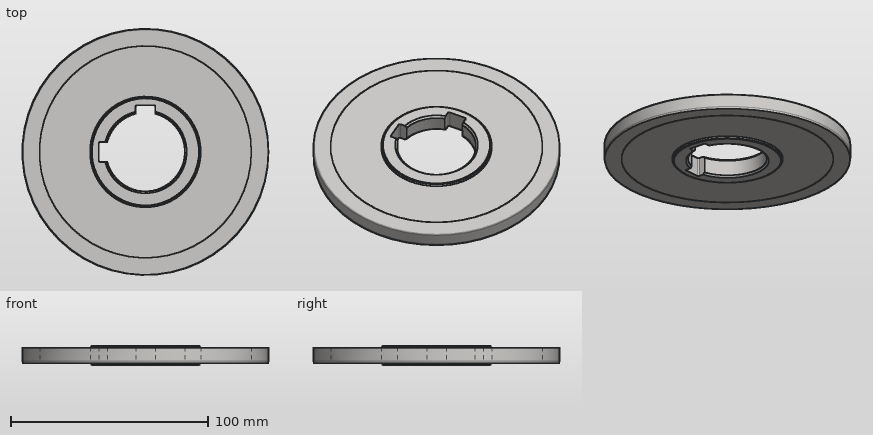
import cadquery as cq
import math

wheel_radius = 62.5
rim_width = 8.8
rim_thickness = 8.0
rim_top_radius = 0.4
rim_taper_height = 1.2
rim_taper_inset = 0.2

rim_step_height = 0.1

hub_radius = 27.5
hub_height = 10.0
hub_edge_chamfer = 0.4
hub_root_fillet = 0.6
bore_radius = 20.0
bore_chamfer = 1.0

keyway_width = 10.0
keyway_floor_distance = 23.6
keyway_corner_radius = 0.6
keyway_angles = (0, 90)

rim_inner_radius = wheel_radius - rim_width
hub_foot_radius = hub_radius + hub_root_fillet
rim_top = rim_thickness / 2
web_top = rim_top - rim_step_height
hub_top = hub_height / 2


def make_rim():
    """Outer rim with a rounded top edge and a slight taper at the bottom edge."""
    rim = (
        cq.Workplane("XZ")
        .moveTo(rim_inner_radius, -rim_top)
        .lineTo(wheel_radius - rim_taper_inset, -rim_top)
        .lineTo(wheel_radius, -rim_top + rim_taper_height)
        .lineTo(wheel_radius, rim_top)
        .lineTo(rim_inner_radius, rim_top)
        .close()
        .revolve()
    )
    return rim.faces(">Z").edges(cq.selectors.RadiusNthSelector(-1)).fillet(rim_top_radius)


def make_web():
    """Flat web disc between the hub foot and the rim."""
    return (
        cq.Workplane("XY", origin=(0, 0, -web_top))
        .circle(rim_inner_radius)
        .circle(hub_foot_radius)
        .extrude(2 * web_top)
    )


def hub_sleeve():
    """Sleeve with chamfered ends, widening through a concave fillet to its foot at the web."""
    fillet_top = web_top + hub_root_fillet
    fillet_sag = hub_root_fillet * (1 - math.sqrt(0.5))
    fillet_middle_radius = hub_radius + fillet_sag
    fillet_middle_height = web_top + fillet_sag
    return (
        cq.Workplane("XZ")
        .moveTo(bore_radius, -hub_top + bore_chamfer)
        .lineTo(bore_radius + bore_chamfer, -hub_top)
        .lineTo(hub_radius - hub_edge_chamfer, -hub_top)
        .lineTo(hub_radius, -hub_top + hub_edge_chamfer)
        .lineTo(hub_radius, -fillet_top)
        .threePointArc((fillet_middle_radius, -fillet_middle_height), (hub_foot_radius, -web_top))
        .lineTo(hub_foot_radius, web_top)
        .threePointArc((fillet_middle_radius, fillet_middle_height), (hub_radius, fillet_top))
        .lineTo(hub_radius, hub_top - hub_edge_chamfer)
        .lineTo(hub_radius - hub_edge_chamfer, hub_top)
        .lineTo(bore_radius + bore_chamfer, hub_top)
        .lineTo(bore_radius, hub_top - bore_chamfer)
        .close()
        .revolve()
    )


def keyway_cutter(angle):
    """Bar from the axis to the keyway floor, rounded at the floor corners."""
    return (
        cq.Workplane("XY", origin=(0, keyway_floor_distance / 2, 0))
        .box(keyway_width, keyway_floor_distance, hub_height)
        .edges("|Z and >Y")
        .fillet(keyway_corner_radius)
        .rotate((0, 0, 0), (0, 0, 1), angle)
    )


def make_hub():
    """Hub sleeve with its keyways cut through the full height."""
    hub = hub_sleeve()
    for angle in keyway_angles:
        hub = hub.cut(keyway_cutter(angle))
    return hub


rim = make_rim()
web = make_web()
hub = make_hub()

result = cq.Compound.makeCompound([rim.val(), web.val(), hub.val()])